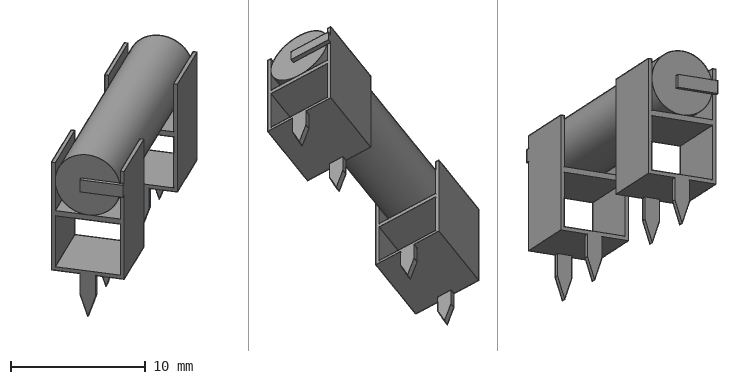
import cadquery as cq

overall_length = 20.6
fuse_diameter = 5.0
fuse_radius = fuse_diameter / 2

clip_width = 5.6
clip_depth = 5.4
floor_thickness = 0.3
shelf_thickness = 0.43
clip_top = 1.5
clip_bottom = -7.5

stop_thickness = 0.3
stop_height = 1.0
stop_reach = 3.32

pin_width = 1.2
pin_thickness = 0.41
overall_height = 13.5
pin_tip = fuse_radius - overall_height
pin_shoulder = (clip_bottom + pin_tip) / 2

fuse_length = overall_length - 2 * stop_thickness
fuse_end = fuse_length / 2


def box_between(x_range, y_range, z_range):
    """Axis-aligned box given by its lower and upper limits."""
    sizes = [high - low for low, high in (x_range, y_range, z_range)]
    corner = (x_range[0], y_range[0], z_range[0])
    return cq.Workplane("XY").box(*sizes, centered=False).translate(corner)


def make_fuse():
    return cq.Workplane("XZ", origin=(0, fuse_end, 0)).circle(fuse_radius).extrude(fuse_length)


def make_pin(front_y):
    """Pin with a sharp tip, reaching from front_y toward +Y."""
    half_width = pin_width / 2
    outline = [
        (-half_width, clip_bottom),
        (half_width, clip_bottom),
        (half_width, pin_shoulder),
        (0, pin_tip),
        (-half_width, pin_shoulder),
    ]
    return cq.Workplane("XZ", origin=(0, front_y, 0)).polyline(outline).close().extrude(-pin_thickness)


def make_clip():
    """Clip at the -Y end of the fuse."""
    front = -fuse_end
    back = front + clip_depth
    half_width = clip_width / 2
    shelf_top = -fuse_radius
    shelf_bottom = shelf_top - shelf_thickness
    floor_top = clip_bottom + floor_thickness

    clip = box_between((-half_width, half_width), (front, back), (clip_bottom, clip_top))
    for opening in ((shelf_top, clip_top), (floor_top, shelf_bottom)):
        clip = clip.cut(box_between((-fuse_radius, fuse_radius), (front, back), opening))

    stop = box_between(
        (half_width - stop_reach, half_width),
        (front - stop_thickness, front),
        (-stop_height / 2, stop_height / 2),
    )
    clip = clip.union(stop)

    for pin_front in (front, back - pin_thickness):
        clip = clip.union(make_pin(pin_front))
    return clip


fuse = make_fuse()

clips = []
for turn in (0, 180):
    clips.append(make_clip().rotate((0, 0, 0), (0, 0, 1), turn).val())

result = cq.Compound.makeCompound([fuse.val(), *clips])